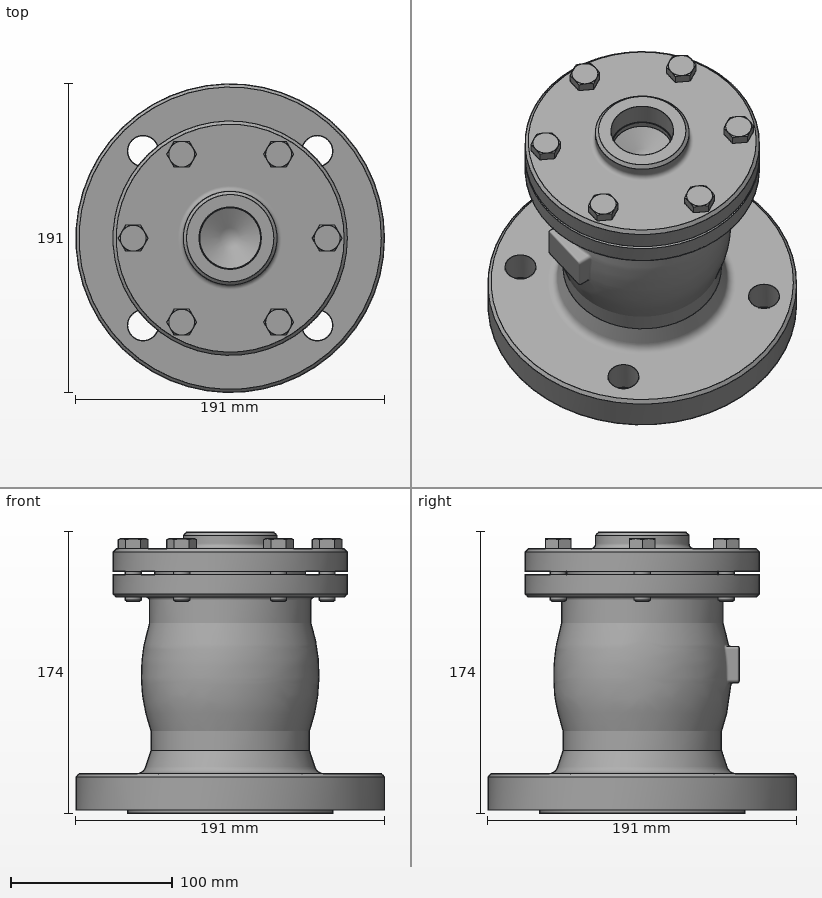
import cadquery as cq
import math

FLANGE_D = 191.0
FLANGE_BOTTOM_Z = 2.0
FLANGE_TOP_Z = 24.6
RAISED_FACE_D = 127.0
FLANGE_HOLE_D = 19.0
FLANGE_HOLE_CIRCLE_D = 152.4
FLANGE_HOLE_COUNT = 4
FLANGE_HOLE_START_ANGLE = 45.0
EDGE_CHAMFER = 2.0

CONE_FOOT_D = 107.6
CONE_FOOT_FILLET = 5.8
LOWER_NECK_D = 98.0
LOWER_NECK_BOTTOM_Z = 39.0
LOWER_NECK_TOP_Z = 50.7
BULGE_D = 110.0
BULGE_MID_Z = 85.0
UPPER_NECK_D = 100.0
UPPER_NECK_BOTTOM_Z = 117.7
UPPER_NECK_FILLET = 2.0

JOINT_D = 145.0
JOINT_BOTTOM_Z = 133.7
JOINT_THICKNESS = 14.0
GASKET_D = 93.5
GASKET_THICKNESS = 2.0
COVER_BOTTOM_Z = JOINT_BOTTOM_Z + JOINT_THICKNESS + GASKET_THICKNESS
COVER_TOP_Z = COVER_BOTTOM_Z + JOINT_THICKNESS

TOTAL_HEIGHT = 174.0
BOSS_D = 58.0
BOSS_FILLET = 3.0
SOCKET_D = 38.6
SOCKET_DEPTH = 15.5
SEAT_D = 37.6
SEAT_DEPTH = 19.2
SEAT_CONE_DEPTH = 10.0

BOLT_COUNT = 6
BOLT_CIRCLE_D = 120.0
BOLT_D = 10.0
BOLT_HEAD_ACROSS_FLATS = 16.0
BOLT_HEAD_HEIGHT = 6.2
BOLT_HEAD_CROWN_ANGLE = math.radians(30)
BOLT_BOTTOM_Z = 131.0
BOLT_TIP_CHAMFER = 1.0

PAD_WIDTH = 33.0
PAD_HEIGHT = 22.6
PAD_CENTRE_Z = 92.0
PAD_FACE_Y = 60.0
PAD_ROOT_Y = 45.0
PAD_CORNER_RADIUS = 2.0
PAD_EDGE_FILLET = 1.2
PAD_ROOT_FILLET = 1.5


def disc(diameter, bottom_z, top_z):
    """Solid cylinder on the Z axis."""
    return cq.Workplane("XY").workplane(offset=bottom_z).circle(diameter / 2).extrude(top_z - bottom_z)


def make_base_flange():
    """Chamfered mounting flange with its raised face and bolt holes."""
    flange = disc(FLANGE_D, FLANGE_BOTTOM_Z, FLANGE_TOP_Z).faces(">Z").edges().chamfer(EDGE_CHAMFER)
    raised_face = disc(RAISED_FACE_D, 0, FLANGE_BOTTOM_Z)
    holes = (
        cq.Workplane("XY")
        .polarArray(FLANGE_HOLE_CIRCLE_D / 2, FLANGE_HOLE_START_ANGLE, 360, FLANGE_HOLE_COUNT)
        .circle(FLANGE_HOLE_D / 2)
        .extrude(FLANGE_TOP_Z)
    )
    return flange.union(raised_face).cut(holes)


def make_body():
    """Turned body: flared foot, lower neck, barrel bulge and upper neck with a fillet under the joint."""
    cone_run = (CONE_FOOT_D - LOWER_NECK_D) / 2
    cone_rise = LOWER_NECK_BOTTOM_Z - FLANGE_TOP_Z
    cone_lean = math.atan2(cone_run, cone_rise)
    tangent_length = CONE_FOOT_FILLET / math.tan((math.pi / 2 + cone_lean) / 2)
    fillet_top = (
        CONE_FOOT_D / 2 - tangent_length * math.sin(cone_lean),
        FLANGE_TOP_Z + tangent_length * math.cos(cone_lean),
    )
    upper_r = UPPER_NECK_D / 2
    fillet_mid_offset = UPPER_NECK_FILLET * (1 - math.sqrt(0.5))
    return (
        cq.Workplane("XZ")
        .moveTo(0, FLANGE_TOP_Z)
        .lineTo(CONE_FOOT_D / 2 + tangent_length, FLANGE_TOP_Z)
        .radiusArc(fillet_top, CONE_FOOT_FILLET)
        .lineTo(LOWER_NECK_D / 2, LOWER_NECK_BOTTOM_Z)
        .lineTo(LOWER_NECK_D / 2, LOWER_NECK_TOP_Z)
        .threePointArc((BULGE_D / 2, BULGE_MID_Z), (upper_r, UPPER_NECK_BOTTOM_Z))
        .lineTo(upper_r, JOINT_BOTTOM_Z - UPPER_NECK_FILLET)
        .threePointArc(
            (upper_r + fillet_mid_offset, JOINT_BOTTOM_Z - fillet_mid_offset),
            (upper_r + UPPER_NECK_FILLET, JOINT_BOTTOM_Z),
        )
        .lineTo(0, JOINT_BOTTOM_Z)
        .close()
        .revolve(360, (0, 0, 0), (0, 1, 0))
    )


def add_name_plate_pad(body):
    """Rounded rectangular pad on the back of the bulge, blended into the body."""
    pad = (
        cq.Workplane("XZ", origin=(0, PAD_FACE_Y, PAD_CENTRE_Z))
        .rect(PAD_WIDTH, PAD_HEIGHT)
        .extrude(PAD_FACE_Y - PAD_ROOT_Y)
        .edges("|Y")
        .fillet(PAD_CORNER_RADIUS)
        .faces(">Y")
        .edges()
        .fillet(PAD_EDGE_FILLET)
    )
    reach_x = PAD_WIDTH / 2 + PAD_ROOT_FILLET
    reach_z = PAD_HEIGHT / 2 + PAD_ROOT_FILLET
    root_zone = cq.selectors.BoxSelector(
        (-reach_x, PAD_ROOT_Y, PAD_CENTRE_Z - reach_z),
        (reach_x, PAD_FACE_Y - 2 * PAD_EDGE_FILLET, PAD_CENTRE_Z + reach_z),
        boundingbox=True,
    )
    return body.union(pad).edges(root_zone).fillet(PAD_ROOT_FILLET)


def make_joint():
    """Body joint flange, gasket and cover, stacked along Z."""
    joint_top_z = JOINT_BOTTOM_Z + JOINT_THICKNESS
    joint = disc(JOINT_D, JOINT_BOTTOM_Z, joint_top_z).faces("<Z").edges().chamfer(EDGE_CHAMFER)
    gasket = disc(GASKET_D, joint_top_z, COVER_BOTTOM_Z)
    cover = disc(JOINT_D, COVER_BOTTOM_Z, COVER_TOP_Z).faces(">Z").edges().chamfer(EDGE_CHAMFER)
    return joint.union(gasket).union(cover)


def make_boss():
    """Inlet boss with a chamfered rim and a concave fillet at its root."""
    boss_r = BOSS_D / 2
    fillet_mid_offset = BOSS_FILLET * (1 - math.sqrt(0.5))
    return (
        cq.Workplane("XZ")
        .moveTo(0, COVER_TOP_Z)
        .lineTo(boss_r + BOSS_FILLET, COVER_TOP_Z)
        .threePointArc(
            (boss_r + fillet_mid_offset, COVER_TOP_Z + fillet_mid_offset),
            (boss_r, COVER_TOP_Z + BOSS_FILLET),
        )
        .lineTo(boss_r, TOTAL_HEIGHT - EDGE_CHAMFER)
        .lineTo(boss_r - EDGE_CHAMFER, TOTAL_HEIGHT)
        .lineTo(0, TOTAL_HEIGHT)
        .close()
        .revolve(360, (0, 0, 0), (0, 1, 0))
    )


def make_socket():
    """Stepped blind bore that ends in a cone."""
    seat_r = SEAT_D / 2
    seat_z = TOTAL_HEIGHT - SEAT_DEPTH
    step_z = TOTAL_HEIGHT - SOCKET_DEPTH
    return (
        cq.Workplane("XZ")
        .moveTo(0, TOTAL_HEIGHT)
        .lineTo(SOCKET_D / 2, TOTAL_HEIGHT)
        .lineTo(SOCKET_D / 2, step_z)
        .lineTo(seat_r, step_z)
        .lineTo(seat_r, seat_z)
        .lineTo(0, seat_z - SEAT_CONE_DEPTH)
        .close()
        .revolve(360, (0, 0, 0), (0, 1, 0))
    )


def make_bolts():
    """Hexagon bolts with corners pointing along X and shanks passing through both flanges."""
    head_across_corners = BOLT_HEAD_ACROSS_FLATS / math.cos(math.pi / 6)
    crown_width = (head_across_corners - BOLT_HEAD_ACROSS_FLATS) / 2
    crown_drop = crown_width * math.tan(BOLT_HEAD_CROWN_ANGLE)
    shank = disc(BOLT_D, BOLT_BOTTOM_Z, COVER_TOP_Z).faces("<Z").edges().chamfer(BOLT_TIP_CHAMFER)
    head = (
        cq.Workplane("XY")
        .workplane(offset=COVER_TOP_Z)
        .polygon(6, head_across_corners)
        .extrude(BOLT_HEAD_HEIGHT)
    )
    crown = (
        disc(head_across_corners, COVER_TOP_Z, COVER_TOP_Z + BOLT_HEAD_HEIGHT)
        .faces(">Z")
        .edges()
        .chamfer(crown_drop, crown_width)
    )
    bolt = shank.union(head.intersect(crown))
    bolts = cq.Workplane("XY")
    for index in range(BOLT_COUNT):
        angle = 2 * math.pi * index / BOLT_COUNT
        x = BOLT_CIRCLE_D / 2 * math.cos(angle)
        y = BOLT_CIRCLE_D / 2 * math.sin(angle)
        bolts = bolts.add(bolt.translate((x, y, 0)))
    return bolts.combine()


result = add_name_plate_pad(make_body())
result = result.union(make_base_flange()).union(make_joint()).union(make_boss())
result = result.union(make_bolts()).cut(make_socket())